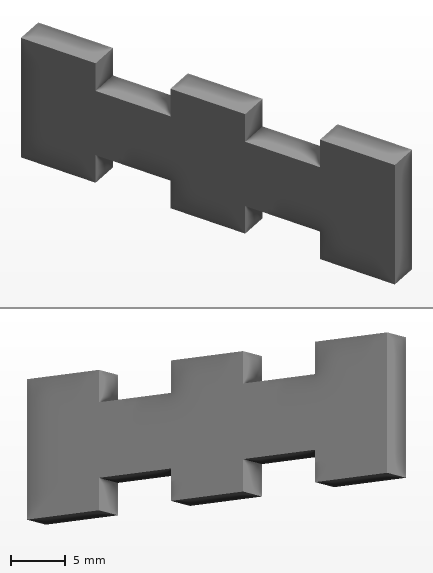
import cadquery as cq

length = 40.0
thickness = 3.0
height = 13.0
notch_depth = 3.0

segment_count = 5
segment_length = length / segment_count
notch_offset_x = segment_length
notch_center_z = (height - notch_depth) / 2

bar = cq.Workplane("XY").box(length, thickness, height)

notches = (
    cq.Workplane("XY")
    .pushPoints([(-notch_offset_x, 0), (notch_offset_x, 0)])
    .box(segment_length, thickness, notch_depth)
)

result = bar
for side_z in (-1, 1):
    result = result.cut(notches.translate((0, 0, side_z * notch_center_z)))